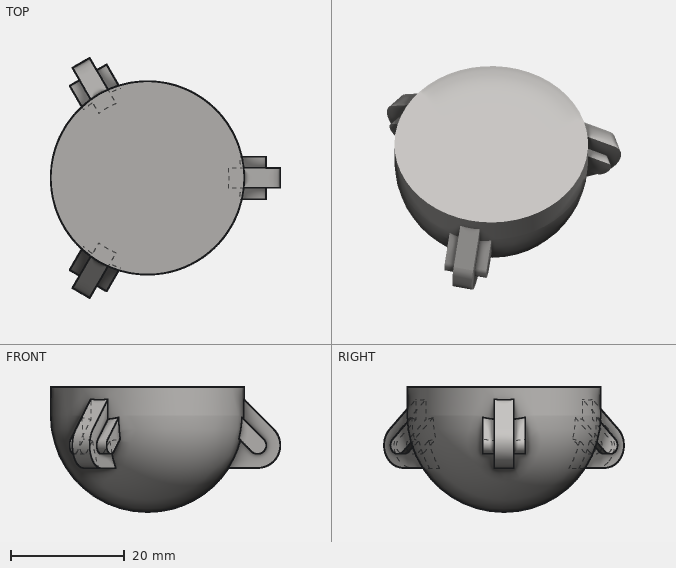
import cadquery as cq
import math

body_diameter = 34.0
body_radius = body_diameter / 2
rim_height = 5.0

lug_count = 3
lug_reach = 23.35
lug_bottom = -9.25
lug_radius = 4.0
lug_thickness = 3.5
rib_radius = 1.5
rib_span = 7.5
slope_angle = 45

lug_top_overlap = 1.25
lug_bottom_overlap = 6.3
rib_length = 8.43

nose_x = lug_reach - lug_radius
nose_z = lug_bottom + lug_radius
slope_cos = math.cos(math.radians(slope_angle))
slope_sin = math.sin(math.radians(slope_angle))


def make_body():
    rim = cq.Workplane("XY").circle(body_radius).extrude(rim_height)
    bowl = (
        cq.Workplane("XZ")
        .moveTo(0, 0)
        .lineTo(body_radius, 0)
        .radiusArc((0, -body_radius), body_radius)
        .close()
        .revolve(360, (0, 0, 0), (0, 1, 0))
    )
    return rim.union(bowl)


def make_lug_plate():
    """Plate with a flat bottom, a round nose and a sloping top."""
    tangent_x = nose_x + lug_radius * slope_sin
    tangent_z = nose_z + lug_radius * slope_cos
    top_x = body_radius - lug_top_overlap
    top_z = tangent_z + (tangent_x - top_x) * slope_sin / slope_cos
    return (
        cq.Workplane("XZ")
        .moveTo(body_radius - lug_bottom_overlap, lug_bottom)
        .lineTo(nose_x, lug_bottom)
        .threePointArc((lug_reach, nose_z), (tangent_x, tangent_z))
        .lineTo(top_x, top_z)
        .close()
        .extrude(lug_thickness / 2, both=True)
    )


def make_rib():
    """Round-ended bar that runs parallel to the sloping top of the lug."""
    middle_x = nose_x - rib_length / 2 * slope_cos
    middle_z = nose_z + rib_length / 2 * slope_sin
    return (
        cq.Workplane("XZ")
        .center(middle_x, middle_z)
        .slot2D(rib_length + 2 * rib_radius, 2 * rib_radius, -slope_angle)
        .extrude(rib_span / 2, both=True)
    )


lug = make_lug_plate().union(make_rib())
result = make_body()
for index in range(lug_count):
    lug_angle = index * 360 / lug_count
    result = result.union(lug.rotate((0, 0, 0), (0, 0, 1), lug_angle))